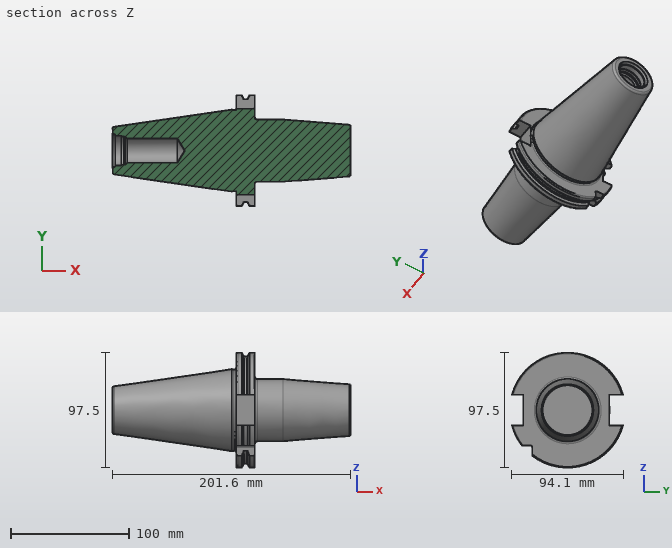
import cadquery as cq
import math


GAUGE_RADIUS = 69.85 / 2
TAPER_SLOPE = 7 / 48
SHANK_LENGTH = 101.6
SHANK_END_FILLET = 2.0
TAPER_END_X = -0.4

NECK_RADIUS = 34.5
NECK_START_X = 0.8
NECK_FILLET = 1.2

FLANGE_RADIUS = 97.5 / 2
FLANGE_START_X = 3.2
FLANGE_END_X = 19.1
FLANGE_START_FILLET = 1.2
FLANGE_END_FILLET = 0.8

GROOVE_CENTRE_X = 11.2
GROOVE_FLOOR_RADIUS = 45.5
GROOVE_MOUTH_WIDTH = 6.6
GROOVE_BOTTOM_WIDTH = 3.8
GROOVE_FLARE_ANGLE = 30.0
GROOVE_CORNER_RADIUS = 0.8

SLOT_WIDTH = 25.7
SLOT_FLOOR_FRONT_Y = -37.5
SLOT_FLOOR_BACK_Y = 35.5
NOTCH_Y = -30.0
NOTCH_Z = -30.0
NOTCH_CORNER_RADIUS = 1.3

NOSE_RADIUS = 26.5
NOSE_FILLET = 1.8
NOSE_CONE_START_X = 42.5
NOSE_END_X = 100.0
NOSE_CONE_ANGLE = 4.5
NOSE_END_CHAMFER = 1.0

MOUTH_RADIUS = 14.4
MOUTH_END_RADIUS = 13.4
MOUTH_DEPTH = 2.4
COUNTERBORE_RADIUS = 12.5
COUNTERBORE_DEPTH = 7.3
PILOT_RADIUS = 11.9
PILOT_DEPTH = 9.8
THREAD_RADIUS = 11.6
THREAD_DEPTH = 11.0
CORE_RADIUS = 10.2
CORE_DEPTH = 55.0
CORE_CHAMFER_DEPTH = THREAD_RADIUS - CORE_RADIUS
DRILL_POINT_ANGLE = 118.0


def revolve_about_x(profile):
    """Turn a closed (x, radius) profile around the X axis."""
    return profile.close().revolve(360, (0, 0, 0), (1, 0, 0))


def shank():
    end_radius = GAUGE_RADIUS - SHANK_LENGTH * TAPER_SLOPE
    taper_end_radius = GAUGE_RADIUS + TAPER_END_X * TAPER_SLOPE
    profile = (
        cq.Workplane("XY")
        .moveTo(-SHANK_LENGTH, 0)
        .lineTo(-SHANK_LENGTH, end_radius)
        .lineTo(TAPER_END_X, taper_end_radius)
        .lineTo(NECK_START_X, NECK_RADIUS)
        .lineTo(FLANGE_START_X - NECK_FILLET, NECK_RADIUS)
        .radiusArc((FLANGE_START_X, NECK_RADIUS + NECK_FILLET), -NECK_FILLET)
        .lineTo(FLANGE_START_X, 0)
    )
    return revolve_about_x(profile).faces("<X").edges().fillet(SHANK_END_FILLET)


def flange():
    disc = (
        cq.Workplane("YZ", origin=(FLANGE_START_X, 0, 0))
        .circle(FLANGE_RADIUS)
        .extrude(FLANGE_END_X - FLANGE_START_X)
    )
    disc = disc.faces("<X").edges().fillet(FLANGE_START_FILLET)
    disc = disc.faces(">X").edges().fillet(FLANGE_END_FILLET)
    return disc.cut(gripper_groove())


def gripper_groove():
    half_mouth = GROOVE_MOUTH_WIDTH / 2
    half_bottom = GROOVE_BOTTOM_WIDTH / 2
    flare_depth = (half_mouth - half_bottom) / math.tan(math.radians(GROOVE_FLARE_ANGLE))
    flare_radius = FLANGE_RADIUS - flare_depth
    profile = (
        cq.Workplane("XY", origin=(GROOVE_CENTRE_X, 0, 0))
        .moveTo(-half_mouth, FLANGE_RADIUS)
        .lineTo(-half_bottom, flare_radius)
        .lineTo(-half_bottom, GROOVE_FLOOR_RADIUS)
        .lineTo(half_bottom, GROOVE_FLOOR_RADIUS)
        .lineTo(half_bottom, flare_radius)
        .lineTo(half_mouth, FLANGE_RADIUS)
    )
    ring = revolve_about_x(profile)
    floor_edges = cq.selectors.RadiusNthSelector(0)
    return ring.edges(floor_edges).fillet(GROOVE_CORNER_RADIUS)


def flange_cutter(y_floor, y_side, z_low, z_high):
    """Block through the flange width, from y_floor outward past the rim on y_side."""
    length = FLANGE_END_X - FLANGE_START_X
    y_outer = y_side * FLANGE_RADIUS
    return (
        cq.Workplane("XY")
        .box(length, abs(y_outer - y_floor), z_high - z_low)
        .translate((
            FLANGE_START_X + length / 2,
            (y_outer + y_floor) / 2,
            (z_low + z_high) / 2,
        ))
    )


def drive_slots():
    half_width = SLOT_WIDTH / 2
    front = flange_cutter(SLOT_FLOOR_FRONT_Y, -1, -half_width, half_width)
    back = flange_cutter(SLOT_FLOOR_BACK_Y, 1, -half_width, half_width)
    return front.union(back)


def index_notch():
    block = flange_cutter(NOTCH_Y, -1, -FLANGE_RADIUS, NOTCH_Z)
    return block.edges("|X and >Y and >Z").fillet(NOTCH_CORNER_RADIUS)


def nose():
    cone_length = NOSE_END_X - NOSE_CONE_START_X
    end_radius = NOSE_RADIUS - cone_length * math.tan(math.radians(NOSE_CONE_ANGLE))
    profile = (
        cq.Workplane("XY")
        .moveTo(FLANGE_END_X, 0)
        .lineTo(FLANGE_END_X, NOSE_RADIUS + NOSE_FILLET)
        .radiusArc((FLANGE_END_X + NOSE_FILLET, NOSE_RADIUS), -NOSE_FILLET)
        .lineTo(NOSE_CONE_START_X, NOSE_RADIUS)
        .lineTo(NOSE_END_X, end_radius)
        .lineTo(NOSE_END_X, 0)
    )
    return revolve_about_x(profile).faces(">X").edges().chamfer(NOSE_END_CHAMFER)


def pull_stud_bore():
    point_depth = CORE_RADIUS / math.tan(math.radians(DRILL_POINT_ANGLE / 2))
    profile = (
        cq.Workplane("XY", origin=(-SHANK_LENGTH, 0, 0))
        .lineTo(0, MOUTH_RADIUS)
        .lineTo(MOUTH_DEPTH, MOUTH_END_RADIUS)
        .lineTo(MOUTH_DEPTH, COUNTERBORE_RADIUS)
        .lineTo(COUNTERBORE_DEPTH, COUNTERBORE_RADIUS)
        .lineTo(COUNTERBORE_DEPTH, PILOT_RADIUS)
        .lineTo(PILOT_DEPTH, PILOT_RADIUS)
        .lineTo(PILOT_DEPTH, THREAD_RADIUS)
        .lineTo(THREAD_DEPTH, THREAD_RADIUS)
        .lineTo(THREAD_DEPTH + CORE_CHAMFER_DEPTH, CORE_RADIUS)
        .lineTo(CORE_DEPTH, CORE_RADIUS)
        .lineTo(CORE_DEPTH + point_depth, 0)
    )
    return revolve_about_x(profile)


slotted_flange = flange().cut(drive_slots()).cut(index_notch())
result = shank().union(slotted_flange).union(nose()).cut(pull_stud_bore())